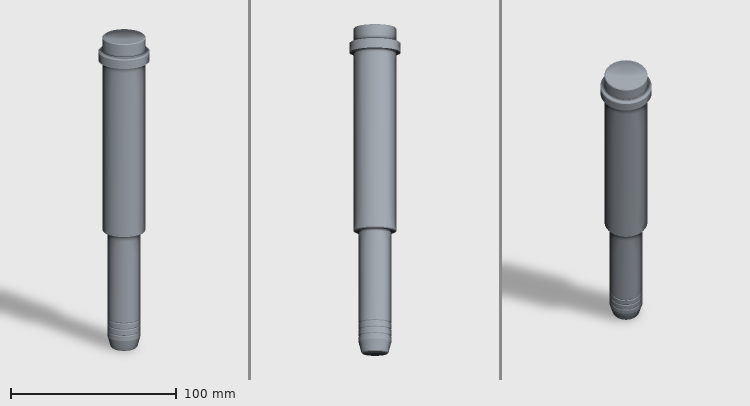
import cadquery as cq
import math

total_length = 200.0
body_diameter = 26.0
collar_diameter = 31.0
shaft_diameter = 20.0

body_bottom = 75.0
collar_height = 6.0
head_length = 9.0

body_chamfer = 0.5
head_chamfer = 0.5
collar_chamfer = 0.5

relief_width = 1.0
relief_depth = 0.4

collar_groove_width = 1.0
collar_groove_depth = 0.4
oil_groove_count = 3
oil_groove_pitch = 4.0
oil_groove_width = 1.0
oil_groove_depth = 0.3
lowest_oil_groove = 10.5

tip_length = 7.2
tip_angle = 15.0
tip_chamfer = 0.5

body_radius = body_diameter / 2
collar_radius = collar_diameter / 2
shaft_radius = shaft_diameter / 2
collar_top = total_length - head_length
collar_bottom = collar_top - collar_height


def revolve_profile(points):
    """Solid of revolution about Z from a closed outline of (radius, height) points."""
    return cq.Workplane("XZ").polyline(points).close().revolve(360, (0, 0, 0), (0, 1, 0))


def make_cylinder(radius, bottom, top):
    """Solid cylinder on the Z axis between two heights."""
    return cq.Workplane("XY").workplane(offset=bottom).circle(radius).extrude(top - bottom)


def make_shaft():
    """Slender shaft with the tapered lead-in tip."""
    cone_end_radius = shaft_radius - (tip_length - tip_chamfer) * math.tan(math.radians(tip_angle))
    return revolve_profile([
        (0, 0),
        (cone_end_radius - tip_chamfer, 0),
        (cone_end_radius, tip_chamfer),
        (shaft_radius, tip_length),
        (shaft_radius, body_bottom),
        (0, body_bottom),
    ])


def make_body():
    """Thick body that carries on through the collar up to the head."""
    body = make_cylinder(body_radius, body_bottom, total_length)
    return body.faces("<Z").chamfer(body_chamfer).faces(">Z").chamfer(head_chamfer)


def make_collar():
    """Collar with a chamfered upper edge."""
    collar = make_cylinder(collar_radius, collar_bottom, collar_top)
    return collar.faces(">Z").chamfer(collar_chamfer)


def make_relief():
    """Cutter for the square-bottomed undercut in the shaft below the body."""
    ring = cq.Workplane("XY").workplane(offset=body_bottom - relief_width)
    ring = ring.circle(shaft_radius).circle(shaft_radius - relief_depth)
    return ring.extrude(relief_width)


def make_v_groove(radius, height, width, depth):
    """Cutter for a V groove centred on a given height."""
    return revolve_profile([
        (radius, height - width / 2),
        (radius, height + width / 2),
        (radius - depth, height),
    ])


def cut_reliefs(part):
    """Undercut below the body and a V groove on each side of the collar."""
    part = part.cut(make_relief())
    half_width = collar_groove_width / 2
    for height in (collar_bottom - half_width, collar_top + half_width):
        part = part.cut(make_v_groove(body_radius, height, collar_groove_width, collar_groove_depth))
    return part


def cut_oil_grooves(part):
    """Evenly spaced shallow V grooves near the tip of the shaft."""
    for index in range(oil_groove_count):
        height = lowest_oil_groove + index * oil_groove_pitch
        part = part.cut(make_v_groove(shaft_radius, height, oil_groove_width, oil_groove_depth))
    return part


result = make_shaft().union(make_body()).union(make_collar())
result = cut_oil_grooves(cut_reliefs(result))